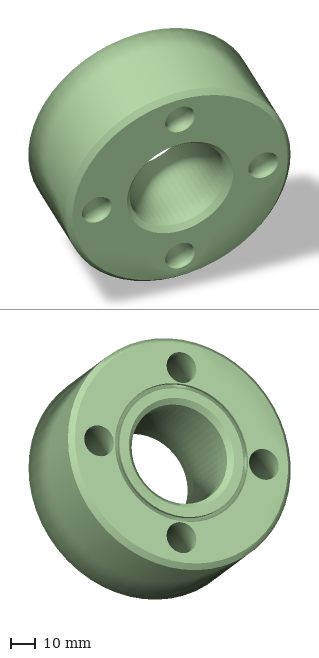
import cadquery as cq

outer_diameter = 98.0
width = 44.0
bore_diameter = 41.9
edge_chamfer = 2.2

groove_outer_diameter = 58.6
groove_inner_diameter = 54.5
groove_depth = 1.5

hole_count = 4
hole_diameter = 13.0
hole_circle_diameter = 72.5

face_x = -width / 2


def cylinder(diameter, length):
    """Cylinder starting at the -X face and running toward +X."""
    return cq.Workplane("YZ", origin=(face_x, 0, 0)).circle(diameter / 2).extrude(length)


def ring_body():
    """Bored ring with every outer and bore edge chamfered."""
    ring = cylinder(outer_diameter, width).cut(cylinder(bore_diameter, width))
    return ring.faces("<X or >X").edges().chamfer(edge_chamfer)


def face_groove():
    return cylinder(groove_outer_diameter, groove_depth).cut(
        cylinder(groove_inner_diameter, groove_depth)
    )


def through_holes():
    return (
        cq.Workplane("YZ", origin=(face_x, 0, 0))
        .polarArray(hole_circle_diameter / 2, 0, 360, hole_count)
        .circle(hole_diameter / 2)
        .extrude(width)
    )


result = ring_body().cut(face_groove()).cut(through_holes())